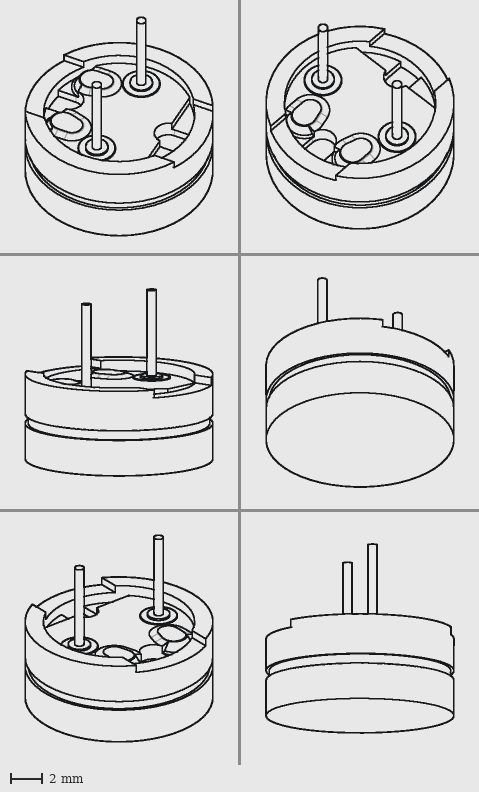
import cadquery as cq
import math

case_radius = 6.0
bore_radius = 4.82
rim_top = 5.5
groove_bottom = 2.3
groove_top = 2.93
groove_radius = 5.8
notch_floor = 4.99
notch_width = 5.69

plate_top = 4.8
plate_half_width = 3.32
ledge_top = 4.3
slot_floor = 3.77
slot_radius = 0.89
slot_center_x = 3.49

pin_top = 10.5
pin_radius = 0.3
pin_offset_y = 3.25
washer_radius = 1.2
washer_height = 0.05
washer_bevel = 0.04
collar_radius = 0.72
collar_top = 4.97

mound_top = 5.0
mound_large_center = (-2.93, 2.12)
mound_small_center = (-2.25, 2.22)
mound_large_radius = 0.78
mound_small_radius = 0.68
mound_flare = 0.54
mound_edge_width = 0.06
mound_edge_drop = 0.02
skirt_flare = 0.36
skirt_bottom = 4.39


def cylinder(radius, bottom, top, x=0.0, y=0.0):
    return cq.Workplane("XY", origin=(x, y, bottom)).circle(radius).extrude(top - bottom)


def block(x_min, x_max, width, bottom, top):
    center = ((x_min + x_max) / 2, 0, bottom)
    return cq.Workplane("XY", origin=center).rect(x_max - x_min, width).extrude(top - bottom)


def make_case():
    case = cylinder(case_radius, 0, rim_top)
    groove = cylinder(case_radius, groove_bottom, groove_top)
    groove = groove.cut(cylinder(groove_radius, groove_bottom, groove_top))
    notch = block(-case_radius, case_radius, notch_width, notch_floor, rim_top)
    bore = cylinder(bore_radius, ledge_top, rim_top)
    plate = block(-plate_half_width, plate_half_width, 2 * bore_radius, ledge_top, plate_top)
    plate = plate.intersect(cylinder(bore_radius, ledge_top, plate_top))
    return case.cut(groove).cut(notch).cut(bore).union(plate)


def make_slot(side):
    """Round-ended slot running from the plate out to the bore wall."""
    inner_x, outer_x = sorted((side * slot_center_x, side * bore_radius))
    slot = block(inner_x, outer_x, 2 * slot_radius, slot_floor, rim_top)
    slot = slot.union(cylinder(slot_radius, slot_floor, rim_top, side * slot_center_x))
    return slot.intersect(cylinder(bore_radius, slot_floor, rim_top))


def make_pin(y):
    washer = cylinder(washer_radius, plate_top, plate_top + washer_height, 0, y)
    washer = washer.faces(">Z").chamfer(washer_bevel)
    collar = cylinder(collar_radius, plate_top, collar_top, 0, y)
    return washer.union(collar).union(cylinder(pin_radius, plate_top, pin_top, 0, y))


def mound_outline(offset, z):
    """Two arcs joined by their outer tangent lines, grown outward by offset."""
    large = cq.Vector(*mound_large_center, z)
    small = cq.Vector(*mound_small_center, z)
    large_radius = mound_large_radius + offset
    small_radius = mound_small_radius + offset
    axis = small - large
    axis_angle = math.atan2(axis.y, axis.x)
    tangent_angle = math.acos((large_radius - small_radius) / axis.Length)

    def point(center, radius, angle):
        return center + cq.Vector(math.cos(angle), math.sin(angle)) * radius

    upper = axis_angle + tangent_angle
    lower = axis_angle - tangent_angle
    large_upper = point(large, large_radius, upper)
    large_lower = point(large, large_radius, lower)
    small_upper = point(small, small_radius, upper)
    small_lower = point(small, small_radius, lower)
    large_end = point(large, large_radius, axis_angle + math.pi)
    small_end = point(small, small_radius, axis_angle)
    return cq.Wire.assembleEdges([
        cq.Edge.makeThreePointArc(large_upper, large_end, large_lower),
        cq.Edge.makeLine(large_lower, small_lower),
        cq.Edge.makeThreePointArc(small_lower, small_end, small_upper),
        cq.Edge.makeLine(small_upper, large_upper),
    ])


def mound_stack(levels):
    """Ruled layers through (offset, height) levels listed from the top down."""
    stack = cq.Workplane("XY")
    for upper, lower in zip(levels, levels[1:]):
        layer = cq.Solid.makeLoft([mound_outline(*lower), mound_outline(*upper)], True)
        stack = stack.union(cq.Workplane(layer))
    return stack


def make_mound():
    """Low slope over the plate, steep skirt over the lower ledge."""
    crown = [(0.0, mound_top), (mound_edge_width, mound_top - mound_edge_drop)]
    on_plate = mound_stack(crown + [(mound_flare, plate_top)])
    on_ledge = mound_stack(crown + [(skirt_flare, skirt_bottom), (mound_flare, ledge_top)])
    ledge_zone = block(-case_radius, -plate_half_width, 2 * case_radius, ledge_top, mound_top)
    mound = on_plate.cut(ledge_zone).union(on_ledge.intersect(ledge_zone))
    return mound.intersect(cylinder(bore_radius, ledge_top, mound_top))


result = make_case()

mound = make_mound()
result = result.union(mound).union(mound.mirror("XZ"))

for side in (-1, 1):
    result = result.cut(make_slot(side))

for side in (-1, 1):
    result = result.union(make_pin(side * pin_offset_y))